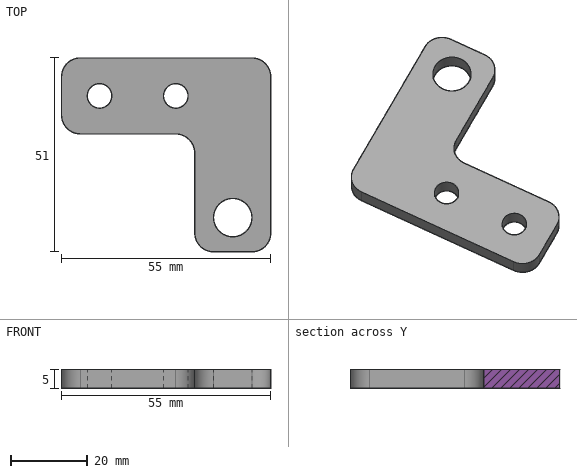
import cadquery as cq

length = 55.0
depth = 51.0
thickness = 5.0
arm_width = 20.0
corner_radius = 5.0

small_hole_diameter = 6.4
small_hole_spacing = 20.0
large_hole_diameter = 10.0
large_hole_end_distance = 9.0

arm_center = arm_width / 2
small_hole_y = depth - arm_center
small_hole_centers = [
    (arm_center, small_hole_y),
    (arm_center + small_hole_spacing, small_hole_y),
]
large_hole_center = (length - arm_center, large_hole_end_distance)


def make_plate():
    """L-shaped plate with all six vertical edges rounded."""
    inner_x = length - arm_width
    inner_y = depth - arm_width
    outline = [
        (inner_x, 0),
        (length, 0),
        (length, depth),
        (0, depth),
        (0, inner_y),
        (inner_x, inner_y),
    ]
    plate = cq.Workplane("XY").polyline(outline).close().extrude(thickness)
    return plate.edges("|Z").fillet(corner_radius)


def make_hole_cutter(centers, diameter):
    """Cylinders through the full plate thickness."""
    return cq.Workplane("XY").pushPoints(centers).circle(diameter / 2).extrude(thickness)


result = (
    make_plate()
    .cut(make_hole_cutter(small_hole_centers, small_hole_diameter))
    .cut(make_hole_cutter([large_hole_center], large_hole_diameter))
)